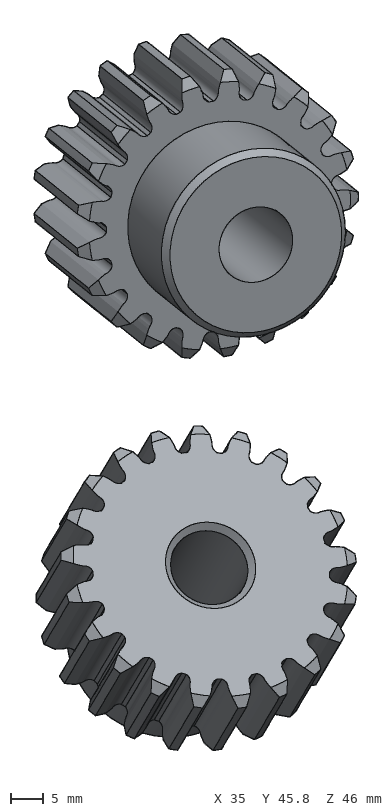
import cadquery as cq
import math

TOOTH_COUNT = 21
OUTER_RADIUS = 46.0 / 2
ROOT_RADIUS = 18.45
FACE_WIDTH = 20.0
TOTAL_LENGTH = 35.0
HUB_RADIUS = 30.0 / 2
BORE_RADIUS = 12.0 / 2
HUB_CHAMFER = 1.0
BORE_CHAMFER = 1.0

TIP_BEVEL_LENGTH = 0.95
TIP_BEVEL_DEPTH = 1.7

TIP_HALF_THICKNESS = 1.4 / 2
FLANK_SHOULDER = (21.25, 3.0 / 2)
FLANK_MIDDLE = (20.25, 3.35 / 2)
FLANK_FOOT = (19.75, 3.45 / 2)
FILLET_MIDDLE = (18.9, 8.1 / 2)
ROOT_LAND_HALF_WIDTH = 0.35

PITCH_ANGLE = 2 * math.pi / TOOTH_COUNT


def along_tooth(radius, half_thickness):
    """Point at a given radius, as a position along and across the tooth."""
    return (math.sqrt(radius**2 - half_thickness**2), half_thickness)


def root_land_edge():
    """Edge of the gap floor next to the tooth."""
    angle = PITCH_ANGLE / 2 - math.asin(ROOT_LAND_HALF_WIDTH / ROOT_RADIUS)
    return (ROOT_RADIUS * math.cos(angle), ROOT_RADIUS * math.sin(angle))


def place(point, tooth, side):
    """Move a half-tooth point to a numbered tooth; side is -1 or +1."""
    along, across = point[0], side * point[1]
    angle = tooth * PITCH_ANGLE
    return (
        along * math.cos(angle) - across * math.sin(angle),
        along * math.sin(angle) + across * math.cos(angle),
    )


def toothed_blank():
    """Extrude the tooth outline; tooth 0 points along +Y."""
    tip_corner = along_tooth(OUTER_RADIUS, TIP_HALF_THICKNESS)
    tip_centre = (OUTER_RADIUS, 0)
    land_edge = root_land_edge()
    land_centre = (
        ROOT_RADIUS * math.cos(PITCH_ANGLE / 2),
        ROOT_RADIUS * math.sin(PITCH_ANGLE / 2),
    )

    outline = cq.Workplane("YZ").moveTo(*place(land_edge, 0, -1))
    for tooth in range(TOOTH_COUNT):
        outline = outline.threePointArc(place(FILLET_MIDDLE, tooth, -0.45), place(FLANK_FOOT, tooth, -1))
        for point in (FLANK_MIDDLE, FLANK_SHOULDER, tip_corner):
            outline = outline.lineTo(*place(point, tooth, -1))
        outline = outline.threePointArc(place(tip_centre, tooth, 1), place(tip_corner, tooth, 1))
        for point in (FLANK_SHOULDER, FLANK_MIDDLE, FLANK_FOOT):
            outline = outline.lineTo(*place(point, tooth, 1))
        outline = outline.threePointArc(place(FILLET_MIDDLE, tooth, 0.45), place(land_edge, tooth, 1))
        outline = outline.threePointArc(place(land_centre, tooth, 1), place(land_edge, tooth + 1, -1))
    return outline.close().extrude(FACE_WIDTH)


def bevel_envelope():
    """Disc with bevelled rims that trims both ends of the teeth."""
    rim_radius = OUTER_RADIUS - TIP_BEVEL_DEPTH
    half_profile = [
        (0, 0),
        (0, rim_radius),
        (TIP_BEVEL_LENGTH, OUTER_RADIUS),
        (FACE_WIDTH - TIP_BEVEL_LENGTH, OUTER_RADIUS),
        (FACE_WIDTH, rim_radius),
        (FACE_WIDTH, 0),
    ]
    return cq.Workplane("XY").polyline(half_profile).close().revolve(360, (0, 0), (1, 0))


def hub():
    """Cylinder behind the gear with a chamfered free rim."""
    cylinder = cq.Workplane("YZ").workplane(offset=FACE_WIDTH).circle(HUB_RADIUS)
    return cylinder.extrude(TOTAL_LENGTH - FACE_WIDTH).faces(">X").chamfer(HUB_CHAMFER)


def bore():
    """Through hole with a chamfered mouth on the gear face."""
    half_profile = [
        (0, 0),
        (0, BORE_RADIUS + BORE_CHAMFER),
        (BORE_CHAMFER, BORE_RADIUS),
        (TOTAL_LENGTH, BORE_RADIUS),
        (TOTAL_LENGTH, 0),
    ]
    return cq.Workplane("XY").polyline(half_profile).close().revolve(360, (0, 0), (1, 0))


gear = toothed_blank().intersect(bevel_envelope())
result = gear.union(hub()).cut(bore())